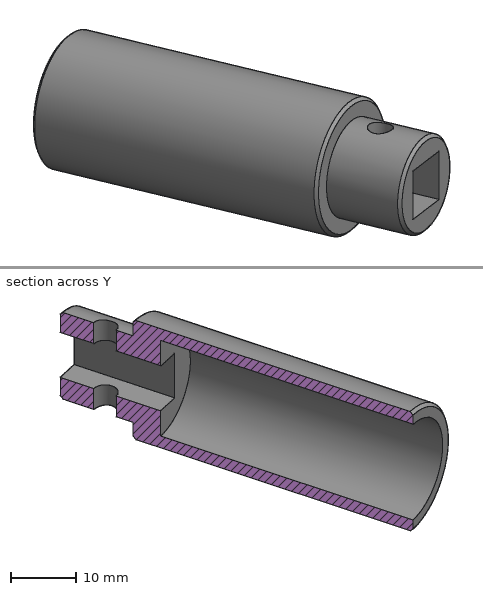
import cadquery as cq

total_length = 63.0
body_length = 50.0
body_diameter = 22.0
spigot_diameter = 16.0
edge_chamfer = 0.5

bore_diameter = 17.5
bore_end_wall = 5.0
bore_depth = body_length - bore_end_wall
square_width = 8.2
cross_hole_diameter = 4.0
cross_hole_from_shoulder = 5.0


def cylinder_along_x(start, length, diameter):
    return cq.Workplane("YZ", origin=(start, 0, 0)).circle(diameter / 2).extrude(length)


body = cylinder_along_x(0, body_length, body_diameter).edges().chamfer(edge_chamfer)

spigot = cylinder_along_x(body_length, total_length - body_length, spigot_diameter)
spigot = spigot.faces(">X").edges().chamfer(edge_chamfer)

bore = cylinder_along_x(0, bore_depth, bore_diameter)

square_hole = cq.Workplane("YZ").rect(square_width, square_width).extrude(total_length)

cross_hole = (
    cq.Workplane("XY")
    .center(body_length + cross_hole_from_shoulder, 0)
    .circle(cross_hole_diameter / 2)
    .extrude(spigot_diameter, both=True)
)

result = body.union(spigot).cut(bore).cut(square_hole).cut(cross_hole)